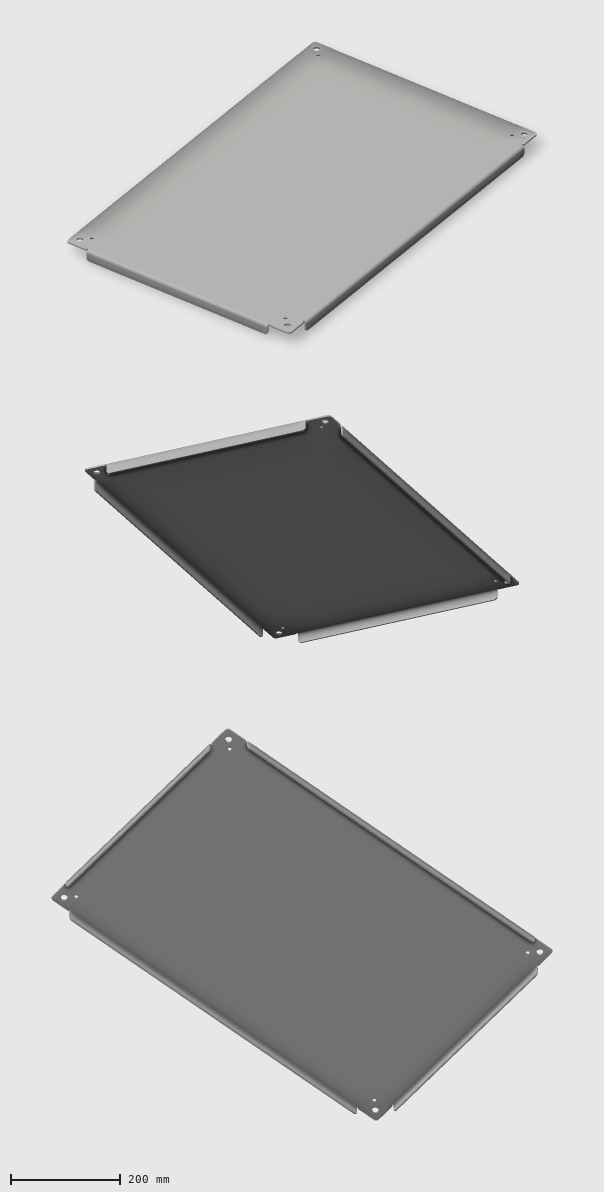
import cadquery as cq

LENGTH_X = 506.0
LENGTH_Y = 783.0
HEIGHT = 22.0
THICKNESS = 3.0
BEND_RADIUS = 6.0

PLATE_INSET = 3.0
PLATE_CORNER_RADIUS = 6.0

END_GAP_X = 51.0
END_GAP_Y = 50.0
RELIEF_WIDTH = 2.0
FLANGE_CORNER_RADIUS = 6.0

MOUNTING_HOLE = (12.5, 21.0)
PILOT_HOLE = (7.1, 37.0)


def make_plate():
    """Flat panel with rounded corners, its top face at Z = 0."""
    return (
        cq.Workplane("XY")
        .workplane(offset=-THICKNESS)
        .rect(LENGTH_X - 2 * PLATE_INSET, LENGTH_Y - 2 * PLATE_INSET)
        .extrude(THICKNESS)
        .edges("|Z")
        .fillet(PLATE_CORNER_RADIUS)
    )


def make_bend_space(width):
    """Clear the panel edge for a bend and its end reliefs, along the -Y side."""
    return cq.Workplane("XY").box(width, 2 * BEND_RADIUS, 2 * HEIGHT)


def make_flange(width):
    """Bent flange along X; its outer face is at Y = 0 and the panel lies toward +Y."""
    flange = (
        cq.Workplane("YZ")
        .moveTo(BEND_RADIUS, 0)
        .radiusArc((0, -BEND_RADIUS), -BEND_RADIUS)
        .lineTo(0, -HEIGHT)
        .lineTo(THICKNESS, -HEIGHT)
        .lineTo(THICKNESS, -BEND_RADIUS)
        .radiusArc((BEND_RADIUS, -THICKNESS), BEND_RADIUS - THICKNESS)
        .close()
        .extrude(width / 2, both=True)
    )
    return flange.faces("<X or >X").edges("|Y").edges("<Z").fillet(FLANGE_CORNER_RADIUS)


def place_on_side(body, angle, outer_distance):
    """Move a body built at the origin to the side reached by turning -Y about Z."""
    return body.translate((0, -outer_distance, 0)).rotate((0, 0, 0), (0, 0, 1), angle)


result = make_plate()

flange_sides = (
    (0, LENGTH_X - 2 * END_GAP_X, LENGTH_Y / 2),
    (90, LENGTH_Y - 2 * END_GAP_Y, LENGTH_X / 2),
    (180, LENGTH_X - 2 * END_GAP_X, LENGTH_Y / 2),
    (270, LENGTH_Y - 2 * END_GAP_Y, LENGTH_X / 2),
)
for angle, flange_width, outer_distance in flange_sides:
    bend_space = make_bend_space(flange_width + 2 * RELIEF_WIDTH)
    result = result.cut(place_on_side(bend_space, angle, outer_distance))
    result = result.union(place_on_side(make_flange(flange_width), angle, outer_distance))

for diameter, edge_distance in (MOUNTING_HOLE, PILOT_HOLE):
    hole_cutters = (
        cq.Workplane("XY")
        .workplane(offset=-THICKNESS)
        .rect(LENGTH_X - 2 * edge_distance, LENGTH_Y - 2 * edge_distance, forConstruction=True)
        .vertices()
        .circle(diameter / 2)
        .extrude(THICKNESS)
    )
    result = result.cut(hole_cutters)